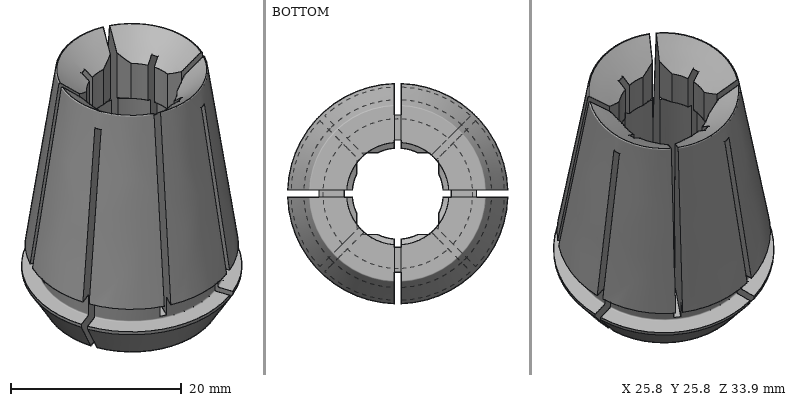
import cadquery as cq
import math

height = 33.9

base_radius = 10.35
flange_radius = 12.9
flange_bottom_z = 4.58
flange_top_z = 5.0

groove_radius = 11.0
taper_bottom_z = 8.03
taper_bottom_radius = 12.5
taper_top_radius = 8.9

edge_round = 0.17

mouth_radius = 8.78
mouth_bottom_z = 30.67

lower_bore_radius = 6.0
lower_bore_top_z = 25.08
drill_point_angle = 120.0
drive_bore_radius = 5.32
square_side = 9.55

slit_width = 0.8
bottom_slit_end_z = 31.55
top_slit_end_z = 5.45
slit_length = 3 * flange_radius


def make_body():
    """Turn the outer profile about Z, then round its end edges and the foot of the groove."""
    body = (
        cq.Workplane("XZ")
        .moveTo(0, 0)
        .lineTo(base_radius, 0)
        .lineTo(flange_radius, flange_bottom_z)
        .lineTo(flange_radius, flange_top_z)
        .lineTo(groove_radius, flange_top_z)
        .lineTo(groove_radius, taper_bottom_z)
        .lineTo(taper_bottom_radius, taper_bottom_z)
        .lineTo(taper_top_radius, height)
        .lineTo(0, height)
        .close()
        .revolve(360, (0, 0), (0, 1))
    )
    groove_edges = cq.selectors.RadiusNthSelector(2)
    body = body.edges("%CIRCLE").edges(groove_edges).edges("<Z").fillet(edge_round)
    return body.faces("<Z or >Z").edges().fillet(edge_round)


def make_round_bore():
    """Turn the lower bore, its drill point, the relief bore and the mouth as one cutter."""
    drill_point_rise = (lower_bore_radius - drive_bore_radius) / math.tan(math.radians(drill_point_angle / 2))
    return (
        cq.Workplane("XZ")
        .moveTo(0, 0)
        .lineTo(lower_bore_radius, 0)
        .lineTo(lower_bore_radius, lower_bore_top_z)
        .lineTo(drive_bore_radius, lower_bore_top_z + drill_point_rise)
        .lineTo(drive_bore_radius, mouth_bottom_z)
        .lineTo(mouth_radius, height)
        .lineTo(0, height)
        .close()
        .revolve(360, (0, 0), (0, 1))
    )


def make_square_drive():
    """Square hole from the top of the lower bore up through the mouth."""
    return (
        cq.Workplane("XY")
        .workplane(offset=lower_bore_top_z)
        .rect(square_side, square_side)
        .extrude(height - lower_bore_top_z)
    )


def make_slit_cross(bottom_z, top_z, first_angle):
    """Two slits across the full diameter at right angles to each other."""
    slit = (
        cq.Workplane("XY")
        .workplane(offset=bottom_z)
        .rect(slit_length, slit_width)
        .extrude(top_z - bottom_z)
        .rotate((0, 0, 0), (0, 0, 1), first_angle)
    )
    return slit.union(slit.rotate((0, 0, 0), (0, 0, 1), 90))


result = (
    make_body()
    .cut(make_round_bore())
    .cut(make_square_drive())
    .cut(make_slit_cross(0, bottom_slit_end_z, 0))
    .cut(make_slit_cross(top_slit_end_z, height, 45))
)